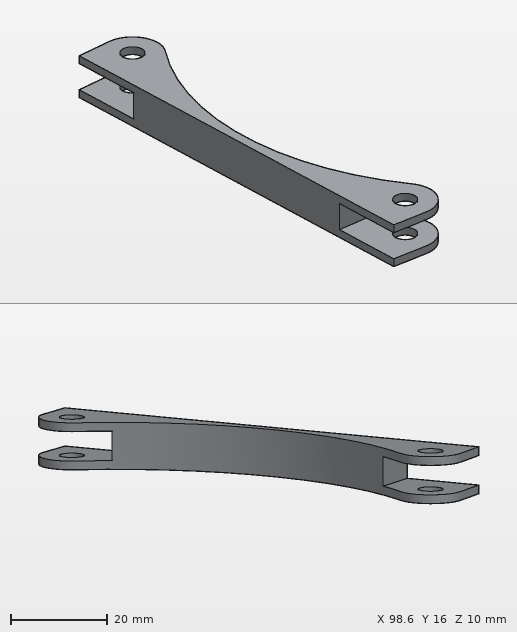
import cadquery as cq
import math

length = 98.55
depth = 16.0
height = 10.0
lug_radius = 6.9
hole_diameter = 5.2
base_half_length = 48.9
waist = 2.4
plate_thickness = 1.9
slot_floor_x = 32.0

lug_x = length / 2 - lug_radius
lug_y = depth - lug_radius

rise = lug_y - waist
arc_radius = (lug_x**2 + rise**2 - lug_radius**2) / (2 * (rise + lug_radius))
arc_center_y = waist + arc_radius


def lug_point(angle):
    """Point on the right lug circle at an angle in radians."""
    return (lug_x + lug_radius * math.cos(angle), lug_y + lug_radius * math.sin(angle))


def mirrored(point):
    return (-point[0], point[1])


corner_dx = base_half_length - lug_x
corner_distance = math.hypot(corner_dx, lug_y)
wall_angle = math.atan2(-lug_y, corner_dx) + math.acos(lug_radius / corner_distance)
arc_angle = math.atan2(arc_center_y - lug_y, -lug_x)

wall_end = lug_point(wall_angle)
lug_middle = lug_point((wall_angle + arc_angle) / 2)
arc_end = lug_point(arc_angle)

body = (
    cq.Workplane("XY")
    .moveTo(-base_half_length, 0)
    .lineTo(base_half_length, 0)
    .lineTo(*wall_end)
    .threePointArc(lug_middle, arc_end)
    .threePointArc((0, waist), mirrored(arc_end))
    .threePointArc(mirrored(lug_middle), mirrored(wall_end))
    .close()
    .extrude(height)
)

holes = (
    cq.Workplane("XY")
    .pushPoints([(-lug_x, lug_y), (lug_x, lug_y)])
    .circle(hole_diameter / 2)
    .extrude(height)
)

slot_length = length / 2 - slot_floor_x
slot_x = slot_floor_x + slot_length / 2
slots = (
    cq.Workplane("XY")
    .pushPoints([(-slot_x, depth / 2), (slot_x, depth / 2)])
    .rect(slot_length, depth)
    .extrude(height - 2 * plate_thickness)
    .translate((0, 0, plate_thickness))
)

result = body.cut(holes).cut(slots)